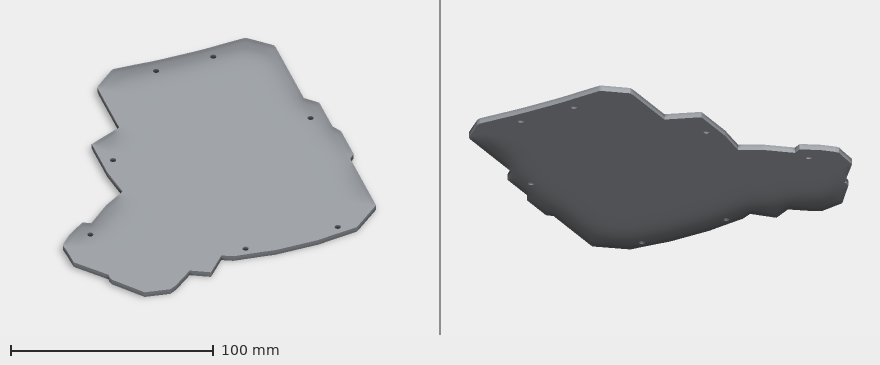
import cadquery as cq

width = 165.59
depth = 158.17
thickness = 3.0
hole_diameter = 3.0

left_bottom_y = 56.3
left_top_y = 149.4
middle_bottom_y = 39.3
shoulder_y = 155.4

left_middle_y = 102.8
left_waist = [(0.0, 34.3), (0.5, 23.5), (1.0, 15.6), (1.2, 9.4)]

right_middle_y = 108.6
right_bulge = [(152.8, 32.3), (154.6, 17.6), (155.5, 11.3)]

upper_edge = [
    (0.8, 138.8),
    (10.0, 149.0),
    (11.9, left_top_y),
    (52.5, left_top_y),
    (58.3, shoulder_y),
    (77.4, shoulder_y),
    (82.1, depth),
    (100.3, depth),
    (103.1, shoulder_y),
    (140.5, shoulder_y),
]

thumb_lobe = [
    (150.2, 70.8),
    (160.4, 61.7),
    (155.6, 52.3),
    (163.7, 42.2),
    (width, 38.6),
    (163.5, 25.9),
    (149.0, 13.9),
    (146.2, 13.4),
    (145.1, 13.7),
    (130.3, 0.7),
    (120.8, 0.4),
    (116.6, 0.0),
    (114.9, 1.1),
    (109.8, 6.0),
    (103.5, 14.9),
    (105.6, 18.8),
    (95.4, 30.2),
    (88.4, 41.4),
]

lower_edge = [
    (72.5, middle_bottom_y),
    (49.6, middle_bottom_y),
    (48.0, 42.9),
    (42.4, left_bottom_y),
    (12.7, left_bottom_y),
    (9.9, 56.6),
    (0.5, 67.4),
]

hole_centers = [
    (67.7, 147.4),
    (149.4, 132.1),
    (8.0, 118.0),
    (8.5, 87.9),
    (149.4, 83.8),
    (64.4, 45.1),
    (113.4, 15.5),
]


def mirrored_side(profile, middle_y, direction):
    """Points of a side symmetric about middle_y; direction is +1 upwards, -1 downwards."""
    first_half = [(x, middle_y - direction * half_span) for x, half_span in profile]
    second_half = [(x, middle_y + direction * half_span) for x, half_span in reversed(profile)]
    return first_half + second_half


def make_plate():
    left_side = mirrored_side(left_waist, left_middle_y, 1)
    right_side = mirrored_side(right_bulge, right_middle_y, -1)
    outline = left_side + upper_edge + right_side + thumb_lobe + lower_edge
    return cq.Workplane("XY").polyline(outline).close().extrude(thickness)


def make_hole_pins():
    return cq.Workplane("XY").pushPoints(hole_centers).circle(hole_diameter / 2).extrude(thickness)


result = make_plate().cut(make_hole_pins())